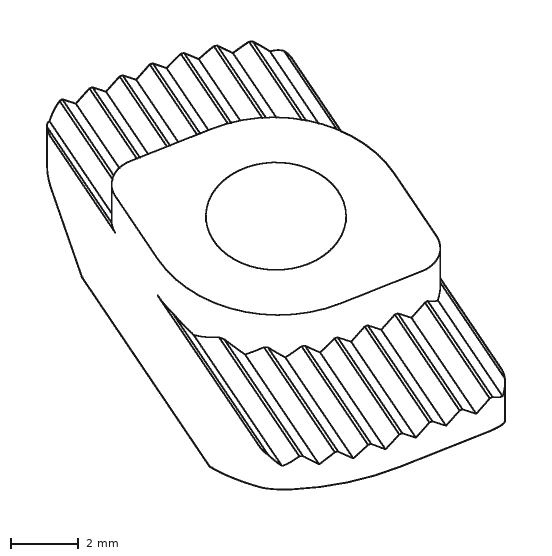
import cadquery as cq
import math

LENGTH = 16.0
WIDTH = 7.7
HEIGHT = 6.0

TAPER_HEIGHT = 3.0
CORNER_RADIUS = 1.0

CREST_Z = 4.5
TOOTH_PITCH = 1.0
CREST_FLAT = 0.1
GROOVE_COUNT = 8
RIM_Z = 4.32

BOSS_SWING_RADIUS = 4.0
BORE_DIAMETER = 4.13

HALF_LENGTH = LENGTH / 2
HALF_WIDTH = WIDTH / 2
BOTTOM_HALF_LENGTH = HALF_LENGTH - TAPER_HEIGHT
GROOVE_HALF_WIDTH = (TOOTH_PITCH - CREST_FLAT) / 2
ROOT_Z = CREST_Z - GROOVE_HALF_WIDTH
OUTER_ROOT_Y = (GROOVE_COUNT - 1) * TOOTH_PITCH / 2


def body_outline():
    """Plan outline: two opposite quadrants square, the other two swung on the end radius."""
    arc_end_x = math.sqrt(HALF_LENGTH**2 - HALF_WIDTH**2)
    mid_angle = math.asin(HALF_WIDTH / HALF_LENGTH) / 2
    mid_x = HALF_LENGTH * math.cos(mid_angle)
    mid_y = HALF_LENGTH * math.sin(mid_angle)
    return (
        cq.Workplane("XY")
        .moveTo(-HALF_LENGTH, -HALF_WIDTH)
        .lineTo(arc_end_x, -HALF_WIDTH)
        .threePointArc((mid_x, -mid_y), (HALF_LENGTH, 0))
        .lineTo(HALF_LENGTH, HALF_WIDTH)
        .lineTo(-arc_end_x, HALF_WIDTH)
        .threePointArc((-mid_x, mid_y), (-HALF_LENGTH, 0))
        .close()
    )


def end_taper():
    """Envelope of the tapered ends: planar in the square quadrants, conical in the swung ones."""
    half_profile = [
        (0, 0),
        (BOTTOM_HALF_LENGTH, 0),
        (HALF_LENGTH, TAPER_HEIGHT),
        (HALF_LENGTH, CREST_Z),
        (0, CREST_Z),
    ]
    swung = cq.Workplane("XZ").polyline(half_profile).close().revolve(360, (0, 0, 0), (0, 1, 0))
    square = cq.Workplane("XZ").polyline(half_profile).close().extrude(-HALF_WIDTH)
    opposite_square = square.rotate((0, 0, 0), (0, 0, 1), 180)
    return swung.union(square).union(opposite_square)


def serration_grooves():
    """V grooves along X, midway between crests, with a crest on the centre line."""
    grooves = cq.Workplane("YZ")
    for index in range(GROOVE_COUNT):
        root_y = index * TOOTH_PITCH - OUTER_ROOT_Y
        grooves = (
            grooves.moveTo(root_y - GROOVE_HALF_WIDTH, CREST_Z)
            .lineTo(root_y, ROOT_Z)
            .lineTo(root_y + GROOVE_HALF_WIDTH, CREST_Z)
            .close()
        )
    return grooves.extrude(HALF_LENGTH, both=True)


def rim_cuts():
    """Lower the partial outer crests to flat rims along both long sides."""
    rim_inner_y = OUTER_ROOT_Y + RIM_Z - ROOT_Z
    rim_width = HALF_WIDTH - rim_inner_y
    rim_centers = [(0, side * (HALF_WIDTH - rim_width / 2)) for side in (-1, 1)]
    return (
        cq.Workplane("XY")
        .workplane(offset=RIM_Z)
        .pushPoints(rim_centers)
        .rect(LENGTH, rim_width)
        .extrude(CREST_Z - RIM_Z)
    )


def make_body():
    block = body_outline().extrude(CREST_Z).edges("|Z").edges(">Y or <Y").fillet(CORNER_RADIUS)
    return block.intersect(end_taper()).cut(serration_grooves()).cut(rim_cuts())


def make_boss():
    """Square boss: two opposite corners follow the swing radius, the others are slightly rounded."""
    boss = cq.Workplane("XY").workplane(offset=ROOT_Z).rect(WIDTH, WIDTH).extrude(HEIGHT - ROOT_Z)
    for side in (-1, 1):
        corner_x = side * HALF_WIDTH
        swung_corner = cq.NearestToPointSelector((corner_x, -corner_x, HEIGHT))
        boss = boss.edges("|Z").edges(swung_corner).fillet(BOSS_SWING_RADIUS)
        small_corner = cq.NearestToPointSelector((corner_x, corner_x, HEIGHT))
        boss = boss.edges("|Z").edges(small_corner).fillet(CORNER_RADIUS)
    return boss


def make_bore():
    return cq.Workplane("XY").circle(BORE_DIAMETER / 2).extrude(HEIGHT)


result = make_body().union(make_boss()).cut(make_bore())